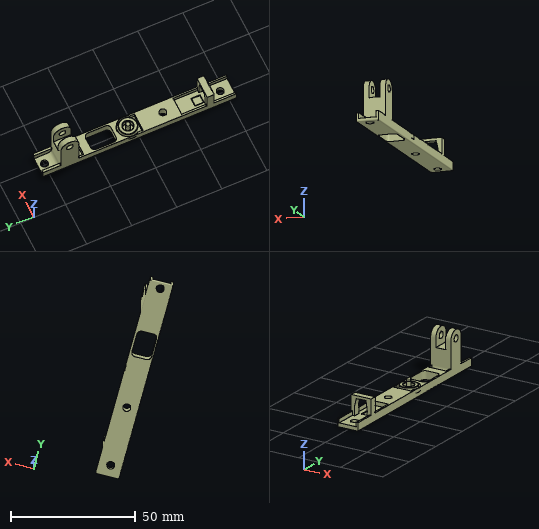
import cadquery as cq

LENGTH = 86.0
WIDTH = 9.7
DECK_HEIGHT = 3.95
BOTTOM_EDGE_RADIUS = 0.5
FRONT_END = -LENGTH / 2
BACK_END = LENGTH / 2

FLOOR_HEIGHT = 2.1
RECESS_WIDTH = 8.1
FRONT_CHANNEL_LENGTH = 24.1
BACK_FLOOR_HEIGHT = 1.5
BACK_CHANNEL_WIDTH = 7.5
NOTCH_WIDTH = 3.7
NOTCH_LENGTH = 4.0
NOTCH_ARCH_DEPTH = 0.8
NOTCH_END_DEPTH = 0.3
NOTCH_END_RUN = 0.3

SCREW_DIAMETER = 3.1
SCREW_POSITIONS = (-37.9, -12.5, 40.1)
WINDOW_LENGTH = 11.2
WINDOW_Y = 15.05
WINDOW_CORNER_RADIUS = 1.7

ARCH_FRONT = -33.0
ARCH_THICKNESS = 3.2
ARCH_BACK = ARCH_FRONT + ARCH_THICKNESS
ARCH_TOP = 10.9
OPENING_WIDTH = 5.9
OPENING_TOP_WIDTH = 4.5
OPENING_SHOULDER = 6.5
OPENING_TOP = 9.6

CLEVIS_Y = 31.05
CLEVIS_TOP = 20.0
CLEVIS_THICKNESS = 7.9
CLEVIS_RADIUS = CLEVIS_THICKNESS / 2
CLEVIS_AXIS_HEIGHT = CLEVIS_TOP - CLEVIS_RADIUS
CLEVIS_PIN_DIAMETER = 2.9
CLEVIS_SLOT_WIDTH = 4.5
CLEVIS_SLOT_BOTTOM = 11.95
ROOT_RADIUS = DECK_HEIGHT - BACK_FLOOR_HEIGHT

HUB_Y = 3.0
HUB_FACE_DIAMETER = 7.6
HUB_EDGE_CHAMFER = 0.2
HUB_DIAMETER = HUB_FACE_DIAMETER + 2 * HUB_EDGE_CHAMFER
HUB_TOP = 4.5
HUB_BORE_DIAMETER = 4.6
HUB_PIN_DIAMETER = 2.0
HUB_PIN_TOP = 6.0
HUB_ROOT_RADIUS = 0.8
HUB_RECESS_RADIUS = HUB_DIAMETER / 2 + HUB_ROOT_RADIUS


def block(width, y_start, y_end, z_start, z_end):
    """Box centred on X between the given Y and Z limits."""
    return (
        cq.Workplane("XY")
        .box(width, y_end - y_start, z_end - z_start, centered=(True, False, False))
        .translate((0, y_start, z_start))
    )


def cylinder(diameter, y, z_start, z_end):
    """Upright cylinder on the X centreline."""
    return (
        cq.Workplane("XY", origin=(0, y, z_start))
        .circle(diameter / 2)
        .extrude(z_end - z_start)
    )


def make_base():
    base = block(WIDTH, FRONT_END, BACK_END, 0, DECK_HEIGHT)
    base = base.faces("<Z").edges().fillet(BOTTOM_EDGE_RADIUS)
    channel_end = FRONT_END + FRONT_CHANNEL_LENGTH
    base = base.cut(block(RECESS_WIDTH, FRONT_END, channel_end, FLOOR_HEIGHT, DECK_HEIGHT))
    base = base.cut(block(BACK_CHANNEL_WIDTH, CLEVIS_Y, BACK_END, BACK_FLOOR_HEIGHT, DECK_HEIGHT))
    window = block(RECESS_WIDTH, WINDOW_Y - WINDOW_LENGTH / 2, WINDOW_Y + WINDOW_LENGTH / 2, 0, DECK_HEIGHT)
    return base.cut(window.edges("|Z").fillet(WINDOW_CORNER_RADIUS))


def make_arch():
    arch = block(WIDTH, ARCH_FRONT, ARCH_BACK, FLOOR_HEIGHT, ARCH_TOP)
    opening = (
        cq.Workplane("XZ", origin=(0, ARCH_BACK, 0))
        .moveTo(-OPENING_WIDTH / 2, FLOOR_HEIGHT)
        .lineTo(OPENING_WIDTH / 2, FLOOR_HEIGHT)
        .lineTo(OPENING_WIDTH / 2, OPENING_SHOULDER)
        .lineTo(OPENING_TOP_WIDTH / 2, OPENING_TOP)
        .lineTo(-OPENING_TOP_WIDTH / 2, OPENING_TOP)
        .lineTo(-OPENING_WIDTH / 2, OPENING_SHOULDER)
        .close()
        .extrude(ARCH_THICKNESS)
    )
    return arch.cut(opening)


def make_clevis():
    y_front = CLEVIS_Y - CLEVIS_RADIUS
    y_back = CLEVIS_Y + CLEVIS_RADIUS
    clevis = (
        cq.Workplane("YZ", origin=(-WIDTH / 2, 0, 0))
        .moveTo(y_front, BACK_FLOOR_HEIGHT)
        .lineTo(y_back, BACK_FLOOR_HEIGHT)
        .lineTo(y_back, CLEVIS_AXIS_HEIGHT)
        .threePointArc((CLEVIS_Y, CLEVIS_TOP), (y_front, CLEVIS_AXIS_HEIGHT))
        .close()
        .extrude(WIDTH)
    )
    pin_hole = (
        cq.Workplane("YZ", origin=(-WIDTH / 2, 0, 0))
        .center(CLEVIS_Y, CLEVIS_AXIS_HEIGHT)
        .circle(CLEVIS_PIN_DIAMETER / 2)
        .extrude(WIDTH)
    )
    slot = block(CLEVIS_SLOT_WIDTH, y_front, y_back, CLEVIS_SLOT_BOTTOM, CLEVIS_TOP)
    return clevis.cut(pin_hole).cut(slot)


def root_block(width, direction):
    """Square space beside the clevis foot; direction is +1 or -1 along Y."""
    foot = CLEVIS_Y + direction * CLEVIS_RADIUS
    outer = foot + direction * ROOT_RADIUS
    return block(width, min(foot, outer), max(foot, outer), BACK_FLOOR_HEIGHT, DECK_HEIGHT)


def root_space(width, direction):
    """Quarter-round part of the root block that stays empty above the concave fillet."""
    outer = CLEVIS_Y + direction * (CLEVIS_RADIUS + ROOT_RADIUS)
    round_cutter = (
        cq.Workplane("YZ", origin=(-width / 2, 0, 0))
        .center(outer, DECK_HEIGHT)
        .circle(ROOT_RADIUS)
        .extrude(width)
    )
    return root_block(width, direction).intersect(round_cutter)


def root_fillet(width, direction):
    """Solid concave quarter-round at the clevis foot."""
    return root_block(width, direction).cut(root_space(width, direction))


def make_hub_recess():
    """Round recess, squared off on its front half."""
    recess = cylinder(2 * HUB_RECESS_RADIUS, HUB_Y, FLOOR_HEIGHT, DECK_HEIGHT)
    return recess.union(block(RECESS_WIDTH, HUB_Y - HUB_RECESS_RADIUS, HUB_Y, FLOOR_HEIGHT, DECK_HEIGHT))


def make_hub():
    radius = HUB_DIAMETER / 2
    fillet_top = FLOOR_HEIGHT + HUB_ROOT_RADIUS
    arc_offset = HUB_ROOT_RADIUS * (1 - 0.5**0.5)
    hub = (
        cq.Workplane("XZ")
        .moveTo(0, FLOOR_HEIGHT)
        .lineTo(HUB_RECESS_RADIUS, FLOOR_HEIGHT)
        .threePointArc((radius + arc_offset, FLOOR_HEIGHT + arc_offset), (radius, fillet_top))
        .lineTo(radius, HUB_TOP)
        .lineTo(0, HUB_TOP)
        .close()
        .revolve(360, (0, 0, 0), (0, 1, 0))
        .translate((0, HUB_Y, 0))
    )
    hub = hub.cut(cylinder(HUB_BORE_DIAMETER, HUB_Y, FLOOR_HEIGHT, HUB_TOP))
    hub = hub.faces(">Z").edges().chamfer(HUB_EDGE_CHAMFER)
    return hub.union(cylinder(HUB_PIN_DIAMETER, HUB_Y, FLOOR_HEIGHT, HUB_PIN_TOP))


def make_notch():
    """Shallow notch behind the arch, with a ramped floor and a sloping end."""
    notch_end = ARCH_BACK + NOTCH_LENGTH
    return (
        cq.Workplane("YZ", origin=(-NOTCH_WIDTH / 2, 0, 0))
        .moveTo(ARCH_BACK, FLOOR_HEIGHT)
        .lineTo(ARCH_BACK, FLOOR_HEIGHT - NOTCH_ARCH_DEPTH)
        .lineTo(notch_end - NOTCH_END_RUN, FLOOR_HEIGHT - NOTCH_END_DEPTH)
        .lineTo(notch_end, FLOOR_HEIGHT)
        .close()
        .extrude(NOTCH_WIDTH)
    )


result = make_base().union(make_arch()).union(make_clevis())
result = result.union(root_fillet(BACK_CHANNEL_WIDTH, 1))
result = result.cut(root_space(RECESS_WIDTH, -1))
result = result.cut(make_hub_recess()).union(make_hub())
result = result.cut(make_notch())
for screw_y in SCREW_POSITIONS:
    result = result.cut(cylinder(SCREW_DIAMETER, screw_y, 0, DECK_HEIGHT))